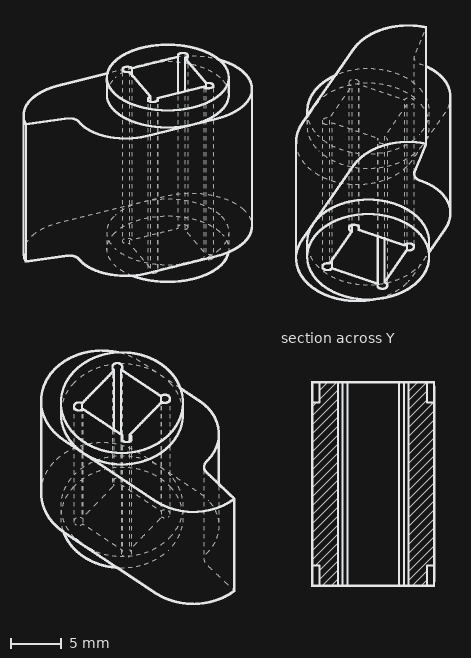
import cadquery as cq
import math

body_radius = 6.0
body_height = 16.03
boss_height = 2.0
back_center_y = 2.5
nose_center_y = -9.0
tip_x = -0.91
nose_face_angle = 10.0
ledge_y = -10.0
shoulder_radius = 5.0
root_fillet = 1.0
bore_side = 6.0
corner_relief_radius = 0.5

total_height = body_height + 2 * boss_height


def point_on_nose_arc(x):
    """Lower point of the nose arc at the given X."""
    return (x, nose_center_y - math.sqrt(body_radius**2 - x**2))


def make_body():
    tip = point_on_nose_arc(tip_x)
    nose_arc_middle = point_on_nose_arc(-body_radius * math.sin(math.radians(50)))

    root_x = tip_x + (ledge_y - tip[1]) * math.tan(math.radians(nose_face_angle))
    shoulder_x = body_radius - shoulder_radius
    shoulder_y = ledge_y + shoulder_radius
    shoulder_middle = (
        shoulder_x + shoulder_radius * math.sin(math.radians(45)),
        shoulder_y - shoulder_radius * math.cos(math.radians(45)),
    )

    body = (
        cq.Workplane("XY")
        .workplane(offset=-body_height / 2)
        .moveTo(-body_radius, nose_center_y)
        .threePointArc(nose_arc_middle, tip)
        .lineTo(root_x, ledge_y)
        .lineTo(shoulder_x, ledge_y)
        .threePointArc(shoulder_middle, (body_radius, shoulder_y))
        .lineTo(body_radius, back_center_y)
        .threePointArc((0, back_center_y + body_radius), (-body_radius, back_center_y))
        .close()
        .extrude(body_height)
    )
    root_edge = cq.selectors.NearestToPointSelector((root_x, ledge_y, 0))
    return body.edges(root_edge).fillet(root_fillet)


def make_bosses():
    """One cylinder through the body, projecting as a boss at each end."""
    return cq.Workplane("XY").circle(body_radius).extrude(total_height / 2, both=True)


def make_bore():
    """Square through bore with a round relief at each corner."""
    square = cq.Workplane("XY").rect(bore_side, bore_side).extrude(total_height / 2, both=True)
    reliefs = (
        cq.Workplane("XY")
        .rect(bore_side, bore_side, forConstruction=True)
        .vertices()
        .circle(corner_relief_radius)
        .extrude(total_height / 2, both=True)
    )
    return square.union(reliefs)


result = make_body().union(make_bosses()).cut(make_bore())